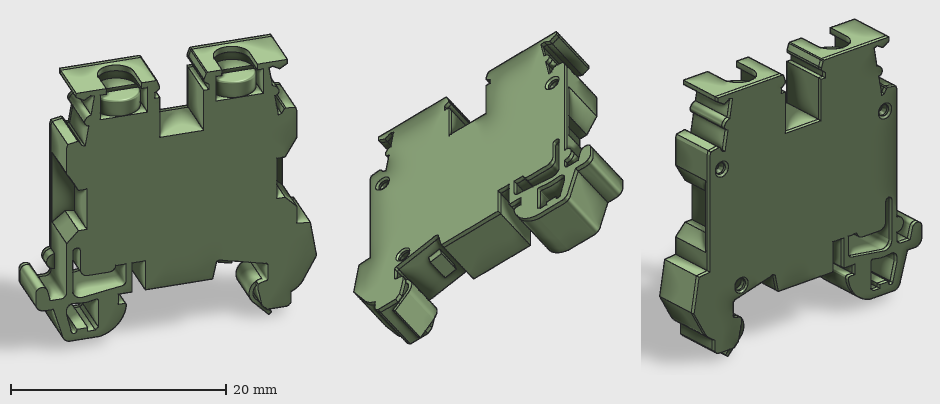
import cadquery as cq
import math


THICKNESS = 5.03
COVER_THICKNESS = 0.4
TOP_Z = 26.32

WALL_Y = 11.25
CHANNEL_HALF_WIDTH = 2.15
LIP_Y = 2.17
CHANNEL_FLOOR_Z = 20.2
UPPER_BASE_Z = 7.28

RAIL_FACE_Z = 4.18
FOOT_LEDGE_Z = 3.1
LATCH_TIP_Y = -14.28
LATCH_TIP_RADIUS = 0.58

BOSS_Z = 6.7
BOSS_RADIUS = 0.8
BOSS_LENGTH = 1.48

RIVET_Y = 9.83
RIVET_Z = 18.85
FOOT_HOLE_Y = 7.47
FOOT_HOLE_Z = 6.18
HOLE_MOUTH_RADIUS = 0.8
HOLE_MOUTH_DEPTH = 0.2
RIVET_HOLE_RADIUS = 0.58
RIVET_TIP_RADIUS = 0.3
RIVET_TIP_DEPTH = 0.4
FOOT_HOLE_RADIUS = 0.63
FOOT_HOLE_DEPTH = 0.82

SCREW_X = 2.72
SCREW_Y = 5.65
SCREW_TOP_Z = 24.75
SCREW_RADIUS = 2.25
SCREW_RIM_RADIUS = 0.27
SCREW_HEIGHT = 1.65
SCREW_SLOT_WIDTH = 0.6
SCREW_SLOT_DEPTH = 0.55
ACCESS_HALF_WIDTH = 1.73
CAVITY_HALF_WIDTH = SCREW_X - COVER_THICKNESS
CAVITY_TOP_Z = 25.7
CAVITY_FLOOR_Z = SCREW_TOP_Z - SCREW_HEIGHT

ENTRY_DEPTH = 1.98
ENTRY_FLARE_DEPTH = 1.15
ENTRY_BOTTOM_Z = 10.47
ENTRY_TOP_Z = 17.85
THROAT_BOTTOM_Z = 11.65
THROAT_TOP_Z = 15.93
ENTRY_MOUTH_X = 0.7
ENTRY_BACK_X = 1.3

TAB_INSET = 1.37
SEAT_LOW = (8.25, 4.92)
SEAT_HIGH = (4.0, 6.0)

SPRING_START_X = 0.47
SPRING_END_X = 4.4
SPRING_BEND_Y = 8.2
SPRING_BEND_Z = 1.62
SPRING_OUTER_RADIUS = 1.43
SPRING_INNER_RADIUS = 1.05
SPRING_START_ANGLE = 8.0
SPRING_TAIL_ANGLE = 46.0
SPRING_BOTTOM_Z = -0.95


def sketch(x):
    """Empty sketch plane at the given X, with local axes Y and Z."""
    return cq.Workplane("YZ", origin=(x, 0, 0))


def bend_point(radius, angle):
    """Point of the spring bend, at an angle in degrees measured from the top of the bend toward -Y."""
    turn = math.radians(angle)
    return (SPRING_BEND_Y - radius * math.sin(turn), SPRING_BEND_Z + radius * math.cos(turn))


def bend_angle(radius, y):
    """Angle at which the upper half of the bend passes the given Y."""
    return math.degrees(math.asin((SPRING_BEND_Y - y) / radius))


def tail_inner_y(z):
    """Y of the inner face of the straight tail at the given Z."""
    start_y, start_z = bend_point(SPRING_INNER_RADIUS, 180 - SPRING_TAIL_ANGLE)
    return start_y + (start_z - z) / math.tan(math.radians(SPRING_TAIL_ANGLE))


def upper_half(x, depth):
    """+Y half of the upper part, from the channel centre to the side wall."""
    return (
        sketch(x)
        .moveTo(0, UPPER_BASE_Z)
        .lineTo(0, CHANNEL_FLOOR_Z)
        .lineTo(CHANNEL_HALF_WIDTH, CHANNEL_FLOOR_Z)
        .lineTo(CHANNEL_HALF_WIDTH, 24.45)
        .lineTo(2.65, 24.45)
        .lineTo(2.65, 25.0)
        .lineTo(LIP_Y, 25.38)
        .lineTo(LIP_Y, 25.6)
        .lineTo(2.4, 26.23)
        .lineTo(2.5, TOP_Z)
        .lineTo(10.33, TOP_Z)
        .lineTo(10.33, 25.88)
        .lineTo(9.55, 25.45)
        .lineTo(8.9, 25.82)
        .lineTo(8.55, 25.7)
        .lineTo(8.87, 23.75)
        .threePointArc((9.25, 23.57), (9.5, 23.18))
        .threePointArc((9.42, 22.83), (9.1, 22.64))
        .lineTo(9.45, 20.55)
        .lineTo(9.75, 20.65)
        .lineTo(10.03, 21.1)
        .lineTo(10.16, 21.18)
        .lineTo(11.15, 21.01)
        .lineTo(WALL_Y, 20.65)
        .lineTo(WALL_Y, UPPER_BASE_Z)
        .close()
        .extrude(depth)
    )


def hook_foot(x, depth):
    """Fixed foot on the +Y side together with the middle block above the rail."""
    end_y = 7.47
    end_angle = bend_angle(SPRING_OUTER_RADIUS, end_y)
    corner_z = 0.5
    return (
        sketch(x)
        .moveTo(WALL_Y, 8.68)
        .lineTo(12.58, 8.55)
        .lineTo(13.19, 4.92)
        .lineTo(11.8, 2.42)
        .threePointArc((11.32, 1.87), (10.69, 1.48))
        .lineTo(10.69, 0.33)
        .lineTo(10.35, 0)
        .lineTo(tail_inner_y(0), 0)
        .lineTo(tail_inner_y(corner_z), corner_z)
        .lineTo(end_y, 2.23)
        .lineTo(*bend_point(SPRING_OUTER_RADIUS, end_angle))
        .threePointArc(
            bend_point(SPRING_OUTER_RADIUS, (end_angle + SPRING_START_ANGLE) / 2),
            bend_point(SPRING_OUTER_RADIUS, SPRING_START_ANGLE),
        )
        .lineTo(8.2, 3.08)
        .threePointArc((8.38, 3.15), (8.43, 3.35))
        .lineTo(8.43, 4.72)
        .lineTo(*SEAT_LOW)
        .lineTo(*SEAT_HIGH)
        .threePointArc((3.65, 6.07), (3.4, 5.95))
        .lineTo(3.02, RAIL_FACE_Z)
        .lineTo(-3.57, RAIL_FACE_Z)
        .lineTo(-3.57, 8.68)
        .close()
        .extrude(depth)
    )


def latch_foot(x, depth):
    """Springy latch foot on the -Y side, ending in an upturned release lever."""
    lever_top_z = 6.2
    return (
        sketch(x)
        .moveTo(-4.85, 8.52)
        .lineTo(-4.85, RAIL_FACE_Z)
        .lineTo(-6.2, RAIL_FACE_Z)
        .lineTo(-6.2, FOOT_LEDGE_Z)
        .lineTo(-5.65, FOOT_LEDGE_Z)
        .threePointArc((-5.47, 3.02), (-5.4, 2.85))
        .threePointArc((-6.13, 1.15), (-8.0, 0))
        .lineTo(-11.02, 0)
        .threePointArc((-11.45, 0.25), (-11.7, 0.8))
        .lineTo(-12.55, 3.68)
        .lineTo(-13.43, 3.68)
        .threePointArc((-14.05, 3.93), (LATCH_TIP_Y, 4.53))
        .lineTo(LATCH_TIP_Y, lever_top_z - LATCH_TIP_RADIUS)
        .threePointArc((LATCH_TIP_Y + LATCH_TIP_RADIUS, lever_top_z), (-13.13, 5.75))
        .lineTo(-12.85, 4.67)
        .lineTo(-11.78, 4.67)
        .threePointArc((-11.43, 4.83), (-WALL_Y, 5.2))
        .lineTo(-WALL_Y, 8.52)
        .close()
        .extrude(depth)
    )


def spring_window(x, depth):
    """Angled window that frees the latch arm from the body."""
    return (
        sketch(x)
        .moveTo(-5.45, UPPER_BASE_Z)
        .lineTo(-6.45, UPPER_BASE_Z)
        .threePointArc((-6.68, 6.87), (-7.1, 6.7))
        .lineTo(-9.17, 6.7)
        .threePointArc((-9.7, 6.92), (-9.92, 7.42))
        .lineTo(-9.92, 9.42)
        .threePointArc((-10.27, 9.8), (-10.65, 9.42))
        .lineTo(-10.65, 5.22)
        .threePointArc((-10.33, 4.65), (-9.67, 4.48))
        .lineTo(-6.05, 5.0)
        .threePointArc((-5.6, 5.15), (-5.45, 5.55))
        .close()
        .extrude(depth)
    )


def latch_window(x, depth):
    """Window through the latch foot, with a small step on its floor."""
    return (
        sketch(x)
        .moveTo(-8.15, 3.82)
        .threePointArc((-8.2, 3.98), (-8.4, 4.05))
        .lineTo(-9.25, 3.87)
        .lineTo(-9.9, 3.87)
        .lineTo(-10.6, 3.95)
        .threePointArc((-11.07, 3.8), (-11.25, 3.38))
        .lineTo(-11.25, 2.85)
        .lineTo(-10.77, 0.9)
        .threePointArc((-10.55, 0.77), (-10.27, 1.0))
        .lineTo(-10.27, 1.15)
        .lineTo(-9.2, 1.15)
        .lineTo(-9.2, 0.77)
        .lineTo(-8.45, 0.77)
        .lineTo(-8.15, 1.05)
        .close()
        .extrude(depth)
    )


def side_slab(x, depth):
    """Slab with the full side outline, from x over the given depth."""
    upper = upper_half(x, depth)
    slab = upper.union(upper.mirror("XZ")).union(hook_foot(x, depth)).union(latch_foot(x, depth))
    return slab.cut(spring_window(x, depth)).cut(latch_window(x, depth))


def pin_boss(x, depth):
    """Stretch of the half-round boss that stands out of the -Y wall."""
    return (
        sketch(x)
        .moveTo(-WALL_Y, BOSS_Z - BOSS_RADIUS)
        .threePointArc((-WALL_Y - BOSS_RADIUS, BOSS_Z), (-WALL_Y, BOSS_Z + BOSS_RADIUS))
        .close()
        .extrude(depth)
    )


def cone(x, y, z, mouth_radius, end_radius, depth):
    """Cone that narrows along +X from its mouth at x."""
    return cq.Workplane(
        cq.Solid.makeCone(mouth_radius, end_radius, depth, cq.Vector(x, y, z), cq.Vector(1, 0, 0))
    )


def mouthed_bore(y, z, radius, depth):
    """Round hole from the cover face, with a conical mouth."""
    bore = sketch(0).center(y, z).circle(radius).extrude(depth)
    return bore.union(cone(0, y, z, HOLE_MOUTH_RADIUS, radius, HOLE_MOUTH_DEPTH))


def rivet_hole(y):
    """Hole through the cover that ends in a blunt cone in the housing."""
    bore = mouthed_bore(y, RIVET_Z, RIVET_HOLE_RADIUS, COVER_THICKNESS)
    return bore.union(
        cone(COVER_THICKNESS, y, RIVET_Z, RIVET_HOLE_RADIUS, RIVET_TIP_RADIUS, RIVET_TIP_DEPTH)
    )


def cut_side_holes(body):
    """Cuts both rivet holes and the hole in the hook foot from a body."""
    for side in (1, -1):
        body = body.cut(rivet_hole(side * RIVET_Y))
    return body.cut(mouthed_bore(FOOT_HOLE_Y, FOOT_HOLE_Z, FOOT_HOLE_RADIUS, FOOT_HOLE_DEPTH))


def make_cover():
    cover = side_slab(0, COVER_THICKNESS).union(pin_boss(0, COVER_THICKNESS))
    return cut_side_holes(cover)


def u_slot(y, half_width, bottom_z, top_z):
    """Slot open to +X with a round end about the screw axis."""
    return (
        cq.Workplane("XY", origin=(0, 0, bottom_z))
        .moveTo(THICKNESS, y - half_width)
        .lineTo(SCREW_X, y - half_width)
        .threePointArc((SCREW_X - half_width, y), (SCREW_X, y + half_width))
        .lineTo(THICKNESS, y + half_width)
        .close()
        .extrude(top_z - bottom_z)
    )


def wire_entry():
    """Funnel in the -Y wall, open to +X: flared floor and roof, then a straight throat."""
    back_y = ENTRY_DEPTH - WALL_Y
    flare_y = ENTRY_FLARE_DEPTH - WALL_Y
    funnel = (
        cq.Workplane("YZ")
        .polyline([
            (-WALL_Y, ENTRY_BOTTOM_Z),
            (flare_y, THROAT_BOTTOM_Z),
            (back_y, THROAT_BOTTOM_Z),
            (back_y, THROAT_TOP_Z),
            (flare_y, THROAT_TOP_Z),
            (-WALL_Y, ENTRY_TOP_Z),
        ])
        .close()
        .extrude(THICKNESS)
    )
    tapered_plan = (
        cq.Workplane("XY", origin=(0, 0, ENTRY_BOTTOM_Z))
        .polyline([
            (ENTRY_MOUTH_X, -WALL_Y),
            (THICKNESS, -WALL_Y),
            (THICKNESS, back_y),
            (ENTRY_BACK_X, back_y),
        ])
        .close()
        .extrude(ENTRY_TOP_Z - ENTRY_BOTTOM_Z)
    )
    return funnel.intersect(tapered_plan)


def seat_tab():
    """Block that stands square off the sloped rail seat."""
    tab_width = 1.35
    tab_height = 0.9
    tab_root = 0.27
    slope = math.atan2(SEAT_HIGH[1] - SEAT_LOW[1], SEAT_HIGH[0] - SEAT_LOW[0])
    offset = 0.9
    centre_y = SEAT_HIGH[0] - offset * math.cos(slope)
    centre_z = SEAT_HIGH[1] - offset * math.sin(slope)
    return (
        cq.Workplane("XY")
        .box(THICKNESS - 2 * TAB_INSET, tab_width, tab_height + tab_root)
        .translate((THICKNESS / 2, 0, (tab_root - tab_height) / 2))
        .rotate((0, 0, 0), (1, 0, 0), math.degrees(slope) - 180)
        .translate((0, centre_y, centre_z))
    )


def make_housing():
    housing = side_slab(COVER_THICKNESS, THICKNESS - COVER_THICKNESS)
    housing = housing.union(pin_boss(COVER_THICKNESS, BOSS_LENGTH - COVER_THICKNESS))
    housing = housing.union(seat_tab()).cut(make_spring())
    entry = wire_entry()
    housing = housing.cut(entry).cut(entry.mirror("XZ"))
    for side in (1, -1):
        screw_y = side * SCREW_Y
        housing = housing.cut(u_slot(screw_y, ACCESS_HALF_WIDTH, CAVITY_TOP_Z, TOP_Z))
        housing = housing.cut(u_slot(screw_y, CAVITY_HALF_WIDTH, CAVITY_FLOOR_Z, CAVITY_TOP_Z))
    return cut_side_holes(housing)


def make_screw(y):
    """Cylindrical screw head with a rounded rim and a driver slot along Y."""
    blank = (
        cq.Workplane("XY", origin=(SCREW_X, y, CAVITY_FLOOR_Z))
        .circle(SCREW_RADIUS)
        .extrude(SCREW_HEIGHT)
        .faces(">Z")
        .edges()
        .fillet(SCREW_RIM_RADIUS)
    )
    slot = (
        cq.Workplane("XY", origin=(SCREW_X, y, SCREW_TOP_Z - SCREW_SLOT_DEPTH))
        .rect(SCREW_SLOT_WIDTH, 2 * SCREW_RADIUS)
        .extrude(SCREW_SLOT_DEPTH)
    )
    return blank.cut(slot)


def make_spring():
    """Bent strip let into the top of the hook foot, curling round its end and back under its corner."""
    bend_end = 180 - SPRING_TAIL_ANGLE
    bend_middle = (SPRING_START_ANGLE + bend_end) / 2
    slope = math.radians(SPRING_TAIL_ANGLE)
    outer_end_y, outer_end_z = bend_point(SPRING_OUTER_RADIUS, bend_end)
    tip_y = outer_end_y + (outer_end_z - SPRING_BOTTOM_Z) / math.tan(slope)
    thickness = SPRING_OUTER_RADIUS - SPRING_INNER_RADIUS
    return (
        sketch(SPRING_START_X)
        .moveTo(*bend_point(SPRING_OUTER_RADIUS, SPRING_START_ANGLE))
        .threePointArc(
            bend_point(SPRING_OUTER_RADIUS, bend_middle),
            (outer_end_y, outer_end_z),
        )
        .lineTo(tip_y, SPRING_BOTTOM_Z)
        .lineTo(tip_y + thickness * math.sin(slope), SPRING_BOTTOM_Z + thickness * math.cos(slope))
        .lineTo(*bend_point(SPRING_INNER_RADIUS, bend_end))
        .threePointArc(
            bend_point(SPRING_INNER_RADIUS, bend_middle),
            bend_point(SPRING_INNER_RADIUS, SPRING_START_ANGLE),
        )
        .close()
        .extrude(SPRING_END_X - SPRING_START_X)
    )


cover = make_cover()
housing = make_housing()
screws = [make_screw(side * SCREW_Y) for side in (1, -1)]
spring = make_spring()

result = cq.Compound.makeCompound([
    cover.val(),
    housing.val(),
    *[screw.val() for screw in screws],
    spring.val(),
])